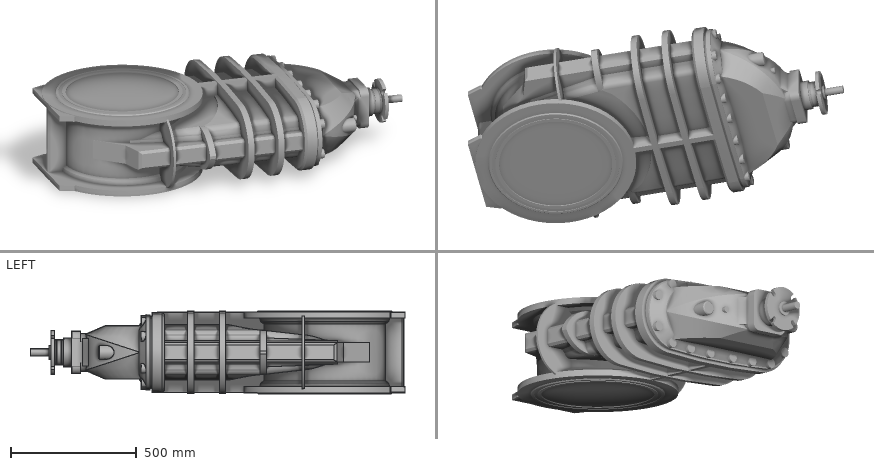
import cadquery as cq
import math


flange_radius = 320.0
flange_outer_z = 160.5
flange_inner_z = 136.0
face_z = 165.0
face_radius = 268.0
face_chamfer = 4.0
groove_outer_radius = 254.0
groove_inner_radius = 240.0
groove_depth = 2.0
bore_radius = 225.0
bore_recess = 4.0
pipe_radius = 242.0
hub_root_radius = 259.0
hub_tip_radius = 254.0
hub_tip_z = 122.0
hub_end_z = 113.0

foot_top_half_width = 192.0
foot_bottom_half_width = 170.0
foot_top_y = -264.0
foot_outer_z = 158.0
stiffener_width = 32.0
stiffener_bottom_y = -315.0
stiffener_chamfer = 8.0

crown_z = 110.0
edge_x = 276.0
edge_z = 88.0
roll_end_x = 299.0
roll_depth = 18.0
roll_bulge = 0.66
wall_foot_x = 306.0
wall_foot_z = 47.0
guide_root_x = 313.0
body_flange_bottom_y = 646.0
body_flange_top_y = 686.0
body_flange_taper = 9.0
hollow_radius = 380.0
taper_start_y = 250.0
taper_end_y = -50.0
taper_inset = 68.0
taper_drop = 33.0
taper_crown = 0.5
taper_start_roll_depth = 30.0
taper_end_roll_depth = 8.0

guide_x = 357.0
guide_half_thickness = 39.0
guide_chamfer = 10.0
guide_corner_y = -46.0
guide_knee = (265.0, -75.0)
guide_tip = (166.0, -178.0)

crown_half = 258.0
crown_rise = 10.0
rib_half_length = 407.0
body_flange_half_length = 394.0
body_flange_half_height = 160.0
bonnet_half_length = 381.0
bonnet_half_height = 150.0
gasket_inset = 5.0

rib_thickness = 25.0
full_rib_centres_y = (532.0, 406.0)
side_rib_centre_y = 244.5
side_rib_inner_x = 278.0
side_rib_half_height = 87.0
side_rib_root_half_height = 60.0
side_rib_nose_half_height = 6.0
side_rib_bulge = (355.0, 64.0)
thin_rib_thickness = 10.0
thin_rib_centre_y = 85.0
thin_rib_half_height = 151.0
spine_width = 24.0

gasket_top_y = 694.0
bonnet_flange_top_y = 711.0
flare_top_y = 738.0
flare_inset = 6.0
dome_centre_y = 627.0
dome_radius = 330.0
dome_half_thickness = 106.0
plateau_radius = 283.0
ridge_root_y = 733.0
ridge_slope = 0.327
slope_start_y = 872.0
slope_end_y = 960.0
slope_end_z = 68.0
bolt_boss_diameter = 38.0
bolt_boss_top_y = 729.0
bolt_places = ((60.0, 128.0), (166.0, 126.0), (266.0, 119.0), (340.0, 63.0))
lug_diameter = 55.0
lug_x = 227.0
lug_top_y = 898.0
lug_chamfer = 4.0
plug_diameter = 24.0
plug_x = 157.0
plug_top_y = 927.0

block_width = 168.0
block_lower_depth = 152.0
block_flare_depth = 110.0
block_flare_half_width = 114.0
block_flare_top_y = 962.0
block_flare_bottom_y = 934.0
block_upper_rounding = 28.0
block_lower_rounding = 33.0
block_bottom_y = 930.0
block_step_y = 970.0
block_top_y = 1006.0
collar_diameter = 115.0
collar_top_y = 1037.0
neck_diameter = 100.5
neck_grooves_y = (1043.0, 1064.0)
neck_groove_width = 4.0
neck_groove_depth = 2.0
stem_flange_diameter = 175.0
stem_flange_bottom_y = 1073.0
stem_flange_top_y = 1088.0
slot_circle_radius = 70.0
slot_width = 18.0
slot_angles = (45, 135, 225, 315)
disc_diameter = 55.0
disc_top_y = 1096.0
stem_diameter = 30.0
stem_top_y = 1170.0


def xz_plane(y):
    """Work plane at height y whose local axes are X and -Z and whose normal is +Y."""
    return cq.Workplane(cq.Plane(origin=(0, y, 0), xDir=(1, 0, 0), normal=(0, 1, 0)))


def rod(x, z, diameter, bottom_y, top_y):
    """Cylinder along Y centred on (x, z)."""
    return xz_plane(bottom_y).center(x, -z).circle(diameter / 2).extrude(top_y - bottom_y)


def rounded_outline(plane, half_length, half_height):
    """Outline with crowned long sides, half_height at the middle, and round ends."""
    shoulder_z = half_height - crown_rise
    return (
        plane.moveTo(-crown_half, shoulder_z)
        .threePointArc((0, half_height), (crown_half, shoulder_z))
        .threePointArc((half_length, 0), (crown_half, -shoulder_z))
        .threePointArc((0, -half_height), (-crown_half, -shoulder_z))
        .threePointArc((-half_length, 0), (-crown_half, shoulder_z))
        .close()
    )


def rounded_plate(half_length, half_height, bottom_y, top_y):
    return rounded_outline(xz_plane(bottom_y), half_length, half_height).extrude(top_y - bottom_y)


def tapered_plate(small, large, small_y, large_y):
    """Plate between two outlines, each given as (half length, half height)."""
    small_wire = rounded_outline(xz_plane(small_y), *small).wire().val()
    large_wire = rounded_outline(xz_plane(large_y), *large).wire().val()
    return cq.Workplane(cq.Solid.makeLoft([small_wire, large_wire], True))


def both_sides(shape, plane="YZ"):
    """The shape joined with its mirror image across a main plane."""
    return shape.union(shape.mirror(plane))


def make_pipe():
    half = (
        cq.Workplane("XZ")
        .lineTo(pipe_radius, 0)
        .lineTo(pipe_radius, hub_end_z)
        .lineTo(hub_tip_radius, hub_tip_z)
        .lineTo(hub_root_radius, flange_inner_z)
        .lineTo(flange_radius, flange_inner_z)
        .lineTo(flange_radius, flange_outer_z)
        .lineTo(face_radius, flange_outer_z)
        .lineTo(face_radius, face_z - face_chamfer)
        .lineTo(face_radius - face_chamfer, face_z)
        .lineTo(groove_outer_radius, face_z)
        .lineTo(groove_outer_radius, face_z - groove_depth)
        .lineTo(groove_inner_radius, face_z - groove_depth)
        .lineTo(groove_inner_radius, face_z)
        .lineTo(bore_radius, face_z)
        .lineTo(bore_radius, face_z - bore_recess)
        .lineTo(0, face_z - bore_recess)
        .close()
        .revolve(360, (0, 0, 0), (0, 1, 0))
    )
    return both_sides(half, "XY")


def make_feet():
    foot = (
        cq.Workplane("XY", origin=(0, 0, flange_inner_z))
        .moveTo(-foot_top_half_width, foot_top_y)
        .lineTo(-foot_bottom_half_width, -flange_radius)
        .lineTo(foot_bottom_half_width, -flange_radius)
        .lineTo(foot_top_half_width, foot_top_y)
        .lineTo(0, 0)
        .close()
        .extrude(foot_outer_z - flange_inner_z)
    )
    stiffener = (
        cq.Workplane("XY")
        .box(stiffener_width, -stiffener_bottom_y, 2 * flange_inner_z, centered=(True, False, True))
        .translate((0, stiffener_bottom_y, 0))
        .edges("|Z and <Y")
        .chamfer(stiffener_chamfer)
    )
    return both_sides(foot, "XY").union(stiffener)


def body_outline(plane, crown, depth, inset=0.0, drop=0.0):
    """Body section; depth is the height of the rolled edges, inset narrows the
    section and drop lowers the rolled edges."""
    root_x = guide_root_x - inset
    edge = (edge_x - inset, edge_z - drop)
    roll_end = (roll_end_x - inset, edge[1] - depth)
    foot = (wall_foot_x - inset, min(wall_foot_z, roll_end[1]))
    roll_mid = (
        edge[0] + roll_bulge * (roll_end[0] - edge[0]),
        roll_end[1] + roll_bulge * (edge[1] - roll_end[1]),
    )

    def at(point, x_sign, z_sign):
        return (x_sign * point[0], z_sign * point[1])

    outline = plane.moveTo(root_x, -guide_half_thickness)
    for side in (1, -1):
        outline = (
            outline.lineTo(side * root_x, side * guide_half_thickness)
            .lineTo(*at(foot, side, side))
            .lineTo(*at(roll_end, side, side))
            .threePointArc(at(roll_mid, side, side), at(edge, side, side))
            .threePointArc((0, side * crown), at(edge, -side, side))
            .threePointArc(at(roll_mid, -side, side), at(roll_end, -side, side))
            .lineTo(*at(foot, -side, side))
            .lineTo(-side * root_x, side * guide_half_thickness)
        )
    return outline.close()


def make_body():
    upper_length = body_flange_top_y - taper_start_y
    upper = body_outline(xz_plane(taper_start_y), crown_z, roll_depth).extrude(upper_length)

    slope = taper_drop / (taper_start_y - taper_end_y)
    hollow_z = edge_z + slope * (hollow_radius - taper_start_y)
    wedge = (
        cq.Workplane("YZ", origin=(-hollow_radius, 0, 0))
        .moveTo(taper_start_y, edge_z)
        .lineTo(hollow_radius, hollow_z)
        .lineTo(hollow_radius, face_z)
        .lineTo(taper_start_y, face_z)
        .close()
        .extrude(2 * hollow_radius)
    )
    hollow = wedge.intersect(cq.Workplane("XY").circle(hollow_radius).extrude(face_z))
    upper = upper.cut(both_sides(hollow, "XY"))

    start = body_outline(xz_plane(taper_start_y), edge_z + taper_crown, taper_start_roll_depth)
    end = body_outline(
        xz_plane(taper_end_y),
        edge_z - taper_drop + taper_crown,
        taper_end_roll_depth,
        taper_inset,
        taper_drop,
    )
    lower = cq.Solid.makeLoft([start.wire().val(), end.wire().val()], True)
    return upper.union(cq.Workplane(lower))


def make_guide():
    guide = (
        cq.Workplane("XY", origin=(0, 0, -guide_half_thickness))
        .moveTo(0, body_flange_top_y)
        .lineTo(guide_x, body_flange_top_y)
        .lineTo(guide_x, guide_corner_y)
        .lineTo(*guide_knee)
        .lineTo(*guide_tip)
        .lineTo(0, guide_tip[1])
        .close()
        .extrude(2 * guide_half_thickness)
        .faces(">X")
        .edges("not >Y")
        .chamfer(guide_chamfer)
    )
    return both_sides(guide)


def make_ribs():
    ribs = cq.Workplane("XY")
    for centre_y in full_rib_centres_y:
        low_y = centre_y - rib_thickness / 2
        ribs = ribs.add(rounded_plate(rib_half_length, face_z, low_y, low_y + rib_thickness))

    thin_low_y = thin_rib_centre_y - thin_rib_thickness / 2
    thin_rib = rounded_plate(rib_half_length, face_z, thin_low_y, thin_low_y + thin_rib_thickness)
    clip = cq.Workplane("XY").box(2 * rib_half_length, flange_radius, 2 * thin_rib_half_height)
    ribs = ribs.add(thin_rib.intersect(clip))

    bulge_x, bulge_z = side_rib_bulge
    side_rib = (
        xz_plane(side_rib_centre_y - rib_thickness / 2)
        .moveTo(0, side_rib_root_half_height)
        .lineTo(side_rib_inner_x, side_rib_half_height)
        .threePointArc(side_rib_bulge, (rib_half_length, side_rib_nose_half_height))
        .lineTo(rib_half_length, -side_rib_nose_half_height)
        .threePointArc((bulge_x, -bulge_z), (side_rib_inner_x, -side_rib_half_height))
        .lineTo(0, -side_rib_root_half_height)
        .close()
        .extrude(rib_thickness)
    )
    ribs = ribs.add(both_sides(side_rib))

    spine = cq.Workplane("XY").box(
        spine_width, body_flange_bottom_y, 2 * body_flange_half_height, centered=(True, False, True)
    )
    pipe_room = cq.Workplane("XY").circle(pipe_radius).extrude(face_z, both=True)
    return ribs.add(spine.cut(pipe_room)).combine()


def make_body_flange():
    plate = rounded_plate(
        body_flange_half_length, body_flange_half_height, body_flange_bottom_y, body_flange_top_y
    )
    taper = tapered_plate(
        (body_flange_half_length - body_flange_taper, body_flange_half_height - body_flange_taper),
        (body_flange_half_length, body_flange_half_height),
        body_flange_bottom_y - body_flange_taper,
        body_flange_bottom_y,
    )
    return plate.union(taper)


def make_bonnet_base():
    gasket = rounded_plate(
        bonnet_half_length - gasket_inset,
        bonnet_half_height - gasket_inset,
        body_flange_top_y,
        gasket_top_y,
    )
    plate = rounded_plate(bonnet_half_length, bonnet_half_height, gasket_top_y, bonnet_flange_top_y)

    dome_half_width = math.sqrt(dome_radius**2 - (flare_top_y - dome_centre_y) ** 2)
    flare = tapered_plate(
        (dome_half_width, dome_half_thickness),
        (bonnet_half_length - flare_inset, bonnet_half_height - flare_inset),
        flare_top_y,
        bonnet_flange_top_y,
    )
    base = gasket.union(plate).union(flare)

    for x, z in bolt_places:
        for x_sign in (-1, 1):
            for z_sign in (-1, 1):
                base = base.union(
                    rod(x_sign * x, z_sign * z, bolt_boss_diameter, gasket_top_y, bolt_boss_top_y)
                )
    return base


def make_dome():
    ridge_length = math.hypot(1, ridge_slope)
    ridge_centre_z = ridge_slope * (dome_centre_y - ridge_root_y)
    ridge_plane = cq.Plane(
        origin=(0, dome_centre_y, ridge_centre_z), xDir=(1, 0, 0), normal=(0, -ridge_slope, 1)
    )
    ridge = cq.Workplane(ridge_plane).ellipse(dome_radius, dome_radius * ridge_length)
    plateau = cq.Workplane("XY", origin=(0, dome_centre_y, dome_half_thickness)).circle(plateau_radius)
    bevel = cq.Workplane(cq.Solid.makeLoft([ridge.wire().val(), plateau.wire().val()], True))

    ridge_end_y = dome_centre_y + dome_radius
    ridge_end_z = ridge_slope * (ridge_end_y - ridge_root_y)
    core = (
        cq.Workplane("YZ", origin=(-dome_radius, 0, 0))
        .moveTo(ridge_root_y, 0)
        .lineTo(ridge_end_y, ridge_end_z)
        .lineTo(ridge_end_y, -ridge_end_z)
        .close()
        .extrude(2 * dome_radius)
    )
    wall = cq.Workplane("XY", origin=(0, dome_centre_y, 0)).circle(dome_radius)
    core = core.intersect(wall.extrude(dome_half_thickness, both=True))
    dome = core.union(bevel).union(bevel.mirror("XY"))
    side_profile = (
        cq.Workplane("YZ", origin=(-dome_radius, 0, 0))
        .moveTo(body_flange_top_y, -dome_half_thickness)
        .lineTo(slope_start_y, -dome_half_thickness)
        .lineTo(slope_end_y, -slope_end_z)
        .lineTo(slope_end_y, slope_end_z)
        .lineTo(slope_start_y, dome_half_thickness)
        .lineTo(body_flange_top_y, dome_half_thickness)
        .close()
        .extrude(2 * dome_radius)
    )
    dome = dome.intersect(side_profile)
    lug = rod(lug_x, 0, lug_diameter, body_flange_top_y, lug_top_y).faces(">Y").chamfer(lug_chamfer)
    plug = rod(plug_x, 0, plug_diameter, body_flange_top_y, plug_top_y)
    return dome.union(both_sides(lug)).union(plug)


def block(bottom_y, top_y, depth, rounding):
    plain = xz_plane(bottom_y).rect(block_width, depth).extrude(top_y - bottom_y)
    return plain.edges("|Y").fillet(rounding)


def make_stem_end():
    stem_end = block(block_bottom_y, block_step_y, block_lower_depth, block_lower_rounding)
    stem_end = stem_end.union(block(block_step_y, block_top_y, block_width, block_upper_rounding))
    flare = (
        cq.Workplane("XY", origin=(0, 0, -block_flare_depth / 2))
        .moveTo(-block_width / 2, block_flare_top_y)
        .lineTo(block_width / 2, block_flare_top_y)
        .lineTo(block_flare_half_width, block_flare_bottom_y)
        .lineTo(-block_flare_half_width, block_flare_bottom_y)
        .close()
        .extrude(block_flare_depth)
    )
    stem_end = stem_end.union(flare)
    stem_end = stem_end.union(rod(0, 0, collar_diameter, block_top_y, collar_top_y))

    neck = rod(0, 0, neck_diameter, collar_top_y, stem_flange_bottom_y)
    neck_core_diameter = neck_diameter - 2 * neck_groove_depth
    neck_core = rod(0, 0, neck_core_diameter, collar_top_y, stem_flange_bottom_y)
    for groove_y in neck_grooves_y:
        ring = rod(0, 0, collar_diameter, groove_y, groove_y + neck_groove_width)
        neck = neck.cut(ring.cut(neck_core))
    stem_end = stem_end.union(neck)

    flange = rod(0, 0, stem_flange_diameter, stem_flange_bottom_y, stem_flange_top_y)
    slot_length = stem_flange_diameter / 2
    slot = rod(slot_circle_radius, 0, slot_width, stem_flange_bottom_y, stem_flange_top_y).union(
        xz_plane(stem_flange_bottom_y)
        .center(slot_circle_radius + slot_length / 2, 0)
        .rect(slot_length, slot_width)
        .extrude(stem_flange_top_y - stem_flange_bottom_y)
    )
    for angle in slot_angles:
        flange = flange.cut(slot.rotate((0, 0, 0), (0, 1, 0), angle))
    stem_end = stem_end.union(flange)

    stem_end = stem_end.union(rod(0, 0, disc_diameter, stem_flange_top_y, disc_top_y))
    return stem_end.union(rod(0, 0, stem_diameter, disc_top_y, stem_top_y))


result = make_pipe()
for piece in (
    make_feet(),
    make_body(),
    make_guide(),
    make_ribs(),
    make_body_flange(),
    make_bonnet_base(),
    make_dome(),
    make_stem_end(),
):
    result = result.union(piece)